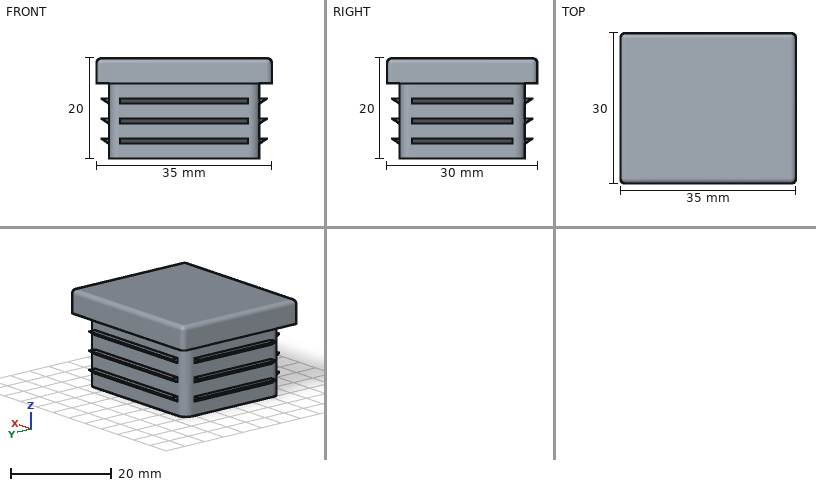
import cadquery as cq

cap_length = 35.0
cap_width = 30.0
cap_height = 5.0
cap_round = 1.0

total_height = 20.0
body_height = total_height - cap_height
body_length = 30.0
body_width = 25.0
body_corner_radius = 2.0

fin_count = 3
fin_pitch = 4.0
fin_first_drop = 3.0
fin_reach = 1.5
fin_height = 1.0
fin_root = 0.35
long_fin_length = 25.5
short_fin_length = 20.0


def make_cap():
    base = cq.Workplane("XY").workplane(offset=body_height)
    cap = base.rect(cap_length, cap_width).extrude(cap_height)
    return cap.edges("|Z or >Z").fillet(cap_round)


def make_body():
    body = cq.Workplane("XY").rect(body_length, body_width).extrude(body_height)
    return body.edges("|Z").fillet(body_corner_radius)


def make_fin(wall, length, top):
    """Triangular fin running along Y on a wall at the given X."""
    profile = [
        (wall - fin_root, top),
        (wall + fin_reach, top),
        (wall, top - fin_height),
        (wall - fin_root, top - fin_height),
    ]
    return cq.Workplane("XZ").polyline(profile).close().extrude(length / 2, both=True)


result = make_cap().union(make_body())
for level in range(fin_count):
    fin_top = body_height - fin_first_drop - level * fin_pitch
    end_fin = make_fin(body_length / 2, short_fin_length, fin_top)
    side_fin = make_fin(body_width / 2, long_fin_length, fin_top)
    for turn in (0, 180):
        result = result.union(end_fin.rotate((0, 0, 0), (0, 0, 1), turn))
        result = result.union(side_fin.rotate((0, 0, 0), (0, 0, 1), turn + 90))